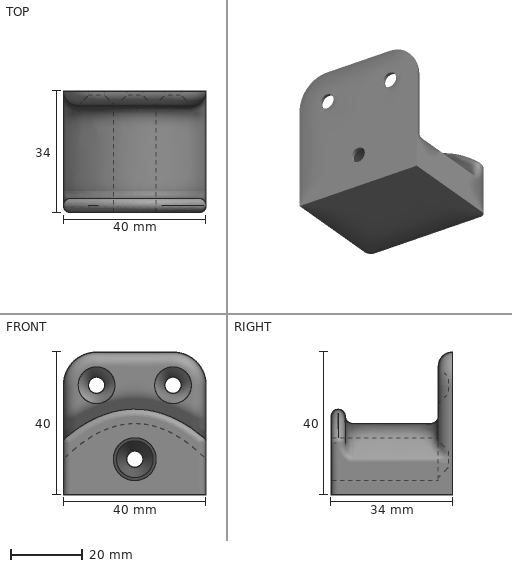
import cadquery as cq
import math

WIDTH = 40.0
DEPTH = 34.0
HEIGHT = 40.0
HALF_WIDTH = WIDTH / 2

ROUND_GAP = 0.01

PLATE_THICKNESS = 4.0
CORNER_RADIUS = 9.3
PLATE_ROUND = PLATE_THICKNESS - ROUND_GAP

SADDLE_CREST = 20.0
SADDLE_DROP = 10.0
FLANGE_THICKNESS = 4.0
FLANGE_RISE = 4.0
RIM_STEPS = 12
FLANGE_BACK = FLANGE_THICKNESS - DEPTH
EDGE_ROUND = FLANGE_THICKNESS / 2 - ROUND_GAP

SCREW_DIAMETER = 4.5
SINK_DIAMETER = 10.3
SINK_ANGLE = 90.0
ACCESS_DIAMETER = 12.0
LOWER_SCREW_HEIGHT = 10.0
UPPER_SCREW_X = HALF_WIDTH - CORNER_RADIUS
UPPER_SCREW_HEIGHT = HEIGHT - CORNER_RADIUS


def front_plane(y):
    """Sketch plane facing -Y, with sketch x along X and sketch y along Z."""
    return cq.Workplane("XZ", origin=(0, y, 0))


def back_plate():
    """Plate with rounded upper corners and a full round along its front edge."""
    plate = front_plane(0).rect(WIDTH, HEIGHT).extrude(PLATE_THICKNESS)
    plate = plate.translate((0, 0, HEIGHT / 2))
    plate = plate.edges("|Y and >Z").fillet(CORNER_RADIUS)
    return plate.faces("<Y").edges("not <Z").fillet(PLATE_ROUND)


def saddle():
    """Full-depth block whose top is an exact parabola (a three-pole Bezier curve)."""
    side_height = SADDLE_CREST - SADDLE_DROP
    arch = [
        (HALF_WIDTH, side_height),
        (0, SADDLE_CREST + SADDLE_DROP),
        (-HALF_WIDTH, side_height),
    ]
    profile = front_plane(0).moveTo(-HALF_WIDTH, 0).lineTo(HALF_WIDTH, 0)
    profile = profile.lineTo(*arch[0]).bezier(arch).close()
    return profile.extrude(DEPTH)


def flange_rim(x):
    """Point of the rim curve: the saddle parabola moved outward by FLANGE_RISE."""
    z = SADDLE_CREST - SADDLE_DROP * (x / HALF_WIDTH) ** 2
    slope = 2 * SADDLE_DROP * x / HALF_WIDTH**2
    length = math.hypot(1, slope)
    return (x + FLANGE_RISE * slope / length, z + FLANGE_RISE / length)


def flange():
    """Flange cut to the body width; its rim is splined through RIM_STEPS spans."""
    rim = [flange_rim(HALF_WIDTH * (1 - 2 * i / RIM_STEPS)) for i in range(RIM_STEPS + 1)]
    blank = front_plane(FLANGE_BACK).moveTo(rim[-1][0], 0).lineTo(rim[0][0], 0)
    blank = blank.lineTo(*rim[0]).spline(rim[1:], includeCurrent=True).close()
    blank = blank.extrude(FLANGE_THICKNESS)
    envelope = cq.Workplane("XY").box(WIDTH, 2 * DEPTH, HEIGHT, centered=(True, True, False))
    return blank.intersect(envelope)


def round_edges(body):
    """Round the borders of the saddle and of the flange's rim, rear and front faces."""
    face_places = [
        (0, FLANGE_BACK / 2, SADDLE_CREST),
        (0, FLANGE_BACK, SADDLE_CREST),
        (0, FLANGE_BACK - FLANGE_THICKNESS / 2, SADDLE_CREST + FLANGE_RISE),
    ]
    edges = body.faces("<Y").edges("not <Z")
    for place in face_places:
        face = body.faces(cq.selectors.NearestToPointSelector(place))
        edges = edges.add(face.edges())
    return edges.fillet(EDGE_ROUND)


def countersunk_hole(x, z):
    """Cutter for a screw hole through the back plate, sunk into its front face."""
    radius = SCREW_DIAMETER / 2
    sink_radius = SINK_DIAMETER / 2
    sink_depth = (sink_radius - radius) / math.tan(math.radians(SINK_ANGLE / 2))
    shank = front_plane(0).center(x, z).circle(radius).extrude(PLATE_THICKNESS)
    cone = cq.Solid.makeCone(
        sink_radius,
        radius,
        sink_depth,
        pnt=cq.Vector(x, -PLATE_THICKNESS, z),
        dir=cq.Vector(0, 1, 0),
    )
    return shank.union(cq.Workplane(cone))


def access_bore():
    """Cutter from the front face to the countersink of the lower screw hole."""
    bore = front_plane(-PLATE_THICKNESS).center(0, LOWER_SCREW_HEIGHT)
    return bore.circle(ACCESS_DIAMETER / 2).extrude(DEPTH - PLATE_THICKNESS)


result = back_plate().union(saddle()).union(flange())
result = round_edges(result)
result = result.cut(access_bore())
screw_places = [
    (0, LOWER_SCREW_HEIGHT),
    (-UPPER_SCREW_X, UPPER_SCREW_HEIGHT),
    (UPPER_SCREW_X, UPPER_SCREW_HEIGHT),
]
for screw_x, screw_z in screw_places:
    result = result.cut(countersunk_hole(screw_x, screw_z))